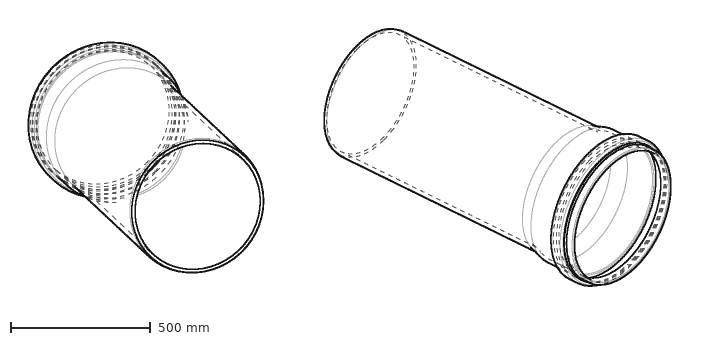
import cadquery as cq

length = 1210.0
pipe_radius = 500.0 / 2
bore_radius = 467.0 / 2

socket_radius = 530.0 / 2
socket_bore_radius = 503.0 / 2
socket_end = 201.0
cone_end = 255.0
inner_cone_end = 265.0

mouth_bore_radius = 505.0 / 2
mouth_rounding = 4.0
mouth_bore_rounding = 2.0
lip_end = 29.0

bead_radius = 569.0 / 2
bead_root_radius = 269.0
bead_start = 36.0
bead_end = 91.0
bead_front_rounding = 7.0
bead_back_rounding = 7.0
bead_root_fillet = 4.0
groove_radius = 535.0 / 2
groove_start = 40.0
groove_end = 76.0
groove_edge_rounding = 4.0

end_chamfer_length = 15.0
end_chamfer_depth = 4.0

HALF_DIAGONAL = 0.5 ** 0.5


def line_and_quarter_arc(profile, start, end, center):
    """Draw a line to start, then a quarter circle to end around the given center."""
    middle = tuple(c + HALF_DIAGONAL * (s + e - 2 * c) for s, e, c in zip(start, end, center))
    return profile.lineTo(*start).threePointArc(middle, end)


def revolve_about_x(profile):
    return profile.close().revolve(360, (0, 0, 0), (1, 0, 0))


def outer_body():
    """Solid of revolution bounded by the outside of the pipe."""
    profile = cq.Workplane("XY")
    profile = line_and_quarter_arc(
        profile,
        (0, socket_radius - mouth_rounding),
        (mouth_rounding, socket_radius),
        (mouth_rounding, socket_radius - mouth_rounding),
    )
    profile = profile.lineTo(lip_end, socket_radius).lineTo(bead_start, bead_root_radius)
    profile = line_and_quarter_arc(
        profile,
        (bead_start, bead_radius - bead_front_rounding),
        (bead_start + bead_front_rounding, bead_radius),
        (bead_start + bead_front_rounding, bead_radius - bead_front_rounding),
    )
    profile = line_and_quarter_arc(
        profile,
        (bead_end - bead_back_rounding, bead_radius),
        (bead_end, bead_radius - bead_back_rounding),
        (bead_end - bead_back_rounding, bead_radius - bead_back_rounding),
    )
    profile = line_and_quarter_arc(
        profile,
        (bead_end, socket_radius + bead_root_fillet),
        (bead_end + bead_root_fillet, socket_radius),
        (bead_end + bead_root_fillet, socket_radius + bead_root_fillet),
    )
    profile = (
        profile.lineTo(socket_end, socket_radius)
        .lineTo(cone_end, pipe_radius)
        .lineTo(length - end_chamfer_length, pipe_radius)
        .lineTo(length, pipe_radius - end_chamfer_depth)
        .lineTo(length, 0)
    )
    return revolve_about_x(profile)


def inner_void():
    """Mouth, seal groove, socket bore, cone and pipe bore as one cutter."""
    profile = cq.Workplane("XY")
    profile = line_and_quarter_arc(
        profile,
        (0, mouth_bore_radius + mouth_bore_rounding),
        (mouth_bore_rounding, mouth_bore_radius),
        (mouth_bore_rounding, mouth_bore_radius + mouth_bore_rounding),
    )
    profile = (
        profile.lineTo(groove_start, mouth_bore_radius)
        .lineTo(groove_start, groove_radius)
        .lineTo(groove_end, groove_radius)
    )
    profile = line_and_quarter_arc(
        profile,
        (groove_end, socket_bore_radius + groove_edge_rounding),
        (groove_end + groove_edge_rounding, socket_bore_radius),
        (groove_end + groove_edge_rounding, socket_bore_radius + groove_edge_rounding),
    )
    profile = (
        profile.lineTo(socket_end, socket_bore_radius)
        .lineTo(inner_cone_end, bore_radius)
        .lineTo(length, bore_radius)
        .lineTo(length, 0)
    )
    return revolve_about_x(profile)


result = outer_body().cut(inner_void())